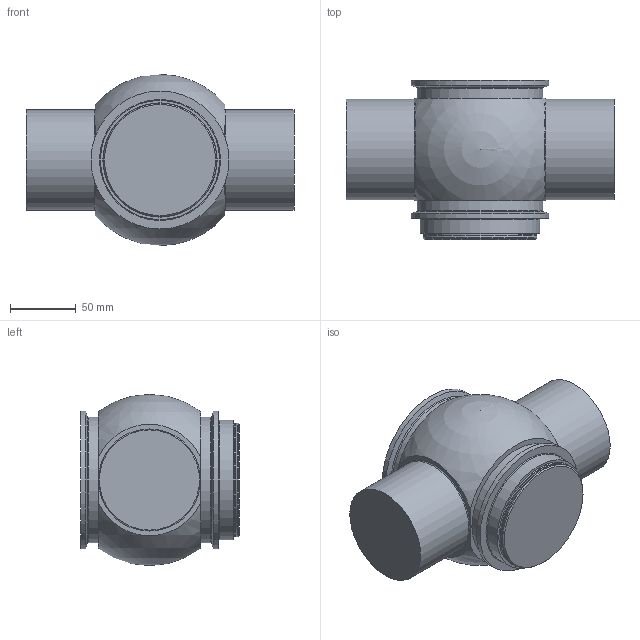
import cadquery as cq
import math

body_radius = 65.08
run_face = 49.4
access_face = 38.9

pipe_length = 203.71
pipe_radius = 38.1

collar_radius = 47.6
flange_radius = 52.42
flange_outer_face = 52.42
flange_rim_thickness = 3.8
flange_bevel_angle = 18.0
flange_bevel_fillet = 1.0

plug_radius = 45.3
plug_shoulder = 63.6
plug_end = 68.43
plug_end_radius = 42.3
groove_radius = 42.7
groove_floor_end = 65.3
lip_radius = 43.2
lip_start = 66.7
lip_end = 67.5

root_fillet = 0.7


def revolve_about_y(profile):
    return profile.close().revolve(360, (0, 0, 0), (0, 1, 0))


def root_arc(profile, radius, face):
    """Draw a concave quarter arc from a flat at Y = face onto a cylinder heading toward +Y."""
    inset = root_fillet * (1 - math.sqrt(0.5))
    return profile.lineTo(radius + root_fillet, face).threePointArc(
        (radius + inset, face + inset), (radius, face + root_fillet)
    )


def make_body():
    sphere = cq.Workplane("XY").sphere(body_radius)
    flats = cq.Workplane("XY").box(2 * run_face, 2 * access_face, 2 * body_radius)
    return sphere.intersect(flats)


def make_pipes():
    """Both pipes, each drawn along Y with a rounded root and then turned onto X."""
    profile = cq.Workplane("XY").lineTo(pipe_radius + root_fillet, 0)
    profile = root_arc(profile, pipe_radius, run_face)
    profile = profile.lineTo(pipe_radius, pipe_length / 2).lineTo(0, pipe_length / 2)
    pipe = revolve_about_y(profile).rotate((0, 0, 0), (0, 0, 1), -90)
    return pipe.union(pipe.mirror("YZ"))


def make_collar():
    """Collar on the +Y side; its clamp flange has a bevelled back rounded into the collar."""
    bevel = math.radians(flange_bevel_angle)
    rim_start = flange_outer_face - flange_rim_thickness
    corner = rim_start - (flange_radius - collar_radius) * math.tan(bevel)
    tangent_length = flange_bevel_fillet * math.tan((math.pi / 2 - bevel) / 2)
    arc_start = (collar_radius, corner - tangent_length)
    arc_end = (
        collar_radius + tangent_length * math.cos(bevel),
        corner + tangent_length * math.sin(bevel),
    )
    profile = (
        cq.Workplane("XY")
        .lineTo(collar_radius, 0)
        .lineTo(*arc_start)
        .tangentArcPoint(arc_end, relative=False)
        .lineTo(flange_radius, rim_start)
        .lineTo(flange_radius, flange_outer_face)
        .lineTo(0, flange_outer_face)
    )
    return revolve_about_y(profile)


def make_plug():
    """Stepped plug with a shallow groove behind its end lip, drawn along +Y and turned to -Y."""
    profile = cq.Workplane("XY").lineTo(plug_radius + root_fillet, 0)
    profile = root_arc(profile, plug_radius, flange_outer_face)
    profile = profile.lineTo(plug_radius, plug_shoulder)
    profile = root_arc(profile, groove_radius, plug_shoulder)
    profile = (
        profile.lineTo(groove_radius, groove_floor_end)
        .lineTo(lip_radius, lip_start)
        .lineTo(lip_radius, lip_end)
        .lineTo(plug_end_radius, plug_end)
        .lineTo(0, plug_end)
    )
    return revolve_about_y(profile).mirror("XZ")


collar = make_collar()
result = make_body().union(make_pipes()).union(collar).union(collar.mirror("XZ")).union(make_plug())